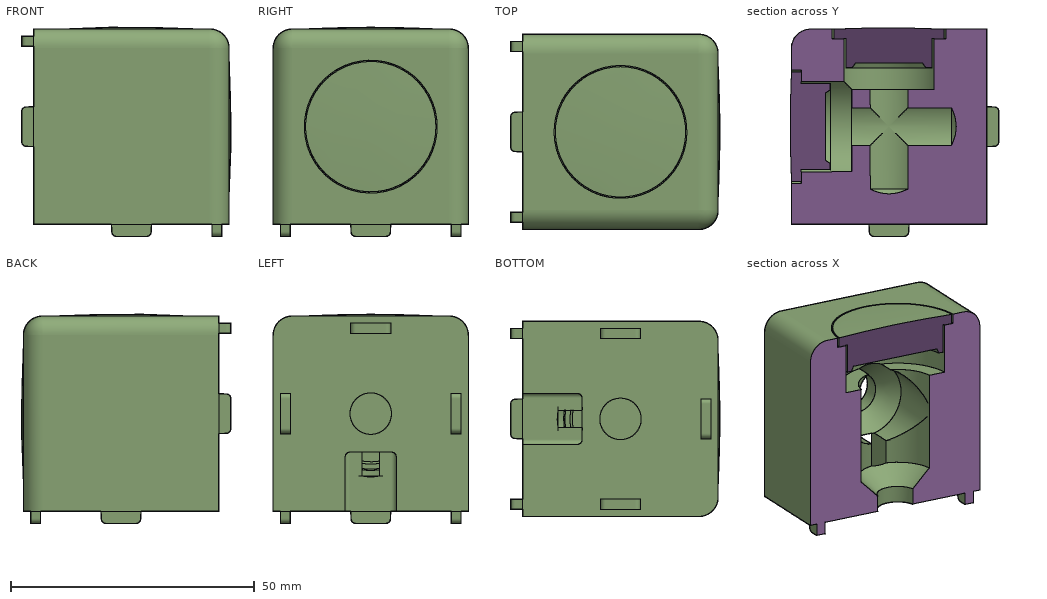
import cadquery as cq

OVERALL_LENGTH = 42.9
SIDE = 40.0
HALF = SIDE / 2
EDGE_RADIUS = 4.0
OVERLAP = 0.45

TAB_LENGTH = 2.5
TAB_BASE_WIDTH = 8.25
TAB_TIP_WIDTH = 8.0
TAB_THICKNESS = 2.05
TAB_INSET = 1.5
TAB_TIP_RADIUS = 1.0
TAB_OFFSET = HALF - TAB_INSET - TAB_THICKNESS / 2

SLOT_WIDTH = 10.45
SLOT_DEPTH = 12.15
SLOT_CORNER_RADIUS = 1.0

ENTRY_HOLE_RADIUS = 4.25
ENTRY_HOLE_DEPTH = 3.45
BORE_RADIUS = 8.05
CONE_LENGTH = BORE_RADIUS - ENTRY_HOLE_RADIUS

DOME_HEIGHT = OVERALL_LENGTH - SIDE - TAB_LENGTH
FLANGE_RADIUS = 13.35
FLANGE_THICKNESS = 2.0
LENS_GAP = 0.25
BARREL_RADIUS = 11.35
BARREL_REAR = 12.0
RECESS_RADIUS = 10.35
RECESS_FLOOR_RADIUS = 9.85
RECESS_DEPTH = 1.0
SEAT = HALF - FLANGE_THICKNESS
BARREL_BORE_START = BORE_RADIUS - OVERLAP


def swap_x_and_z(body):
    """Mirror a body across the plane x = z."""
    return cq.Workplane(body.val().mirror(cq.Vector(1, 0, -1)))


def make_block():
    block = cq.Workplane("XY").box(SIDE, SIDE, SIDE)
    return block.edges("(|X and >Z) or (>X and >Z) or (|Z and >X)").fillet(EDGE_RADIUS)


def make_tab():
    """Tab on the -X face, wide along Y, centred on the X axis."""
    tip = -HALF - TAB_LENGTH
    tab = (
        cq.Workplane("XY", origin=(0, 0, -TAB_THICKNESS / 2))
        .moveTo(-HALF + OVERLAP, -TAB_BASE_WIDTH / 2)
        .lineTo(-HALF, -TAB_BASE_WIDTH / 2)
        .lineTo(tip, -TAB_TIP_WIDTH / 2)
        .lineTo(tip, TAB_TIP_WIDTH / 2)
        .lineTo(-HALF, TAB_BASE_WIDTH / 2)
        .lineTo(-HALF + OVERLAP, TAB_BASE_WIDTH / 2)
        .close()
        .extrude(TAB_THICKNESS)
    )
    return tab.edges("|Z and <X").fillet(TAB_TIP_RADIUS)


def make_face_tabs():
    """The three tabs of the -X face: one near the top, one near each side."""
    tabs = []
    for turn in (-90, 0, 90):
        tab = make_tab().translate((0, 0, TAB_OFFSET))
        tabs.append(tab.rotate((0, 0, 0), (1, 0, 0), turn))
    return tabs


def make_slot():
    slot = cq.Workplane("XY").box(SLOT_DEPTH + OVERLAP, SLOT_WIDTH, SLOT_DEPTH + OVERLAP)
    slot = slot.edges("(|X and >Z) or (|Z and >X)").fillet(SLOT_CORNER_RADIUS)
    middle = -HALF + (SLOT_DEPTH - OVERLAP) / 2
    return slot.translate((middle, 0, middle))


def make_bore():
    """Stepped bore along the X axis: entry hole, cone, main bore, barrel bore and flange seat."""
    cone_start = -HALF + ENTRY_HOLE_DEPTH
    cone_end = cone_start + CONE_LENGTH
    barrel_bore_radius = BARREL_RADIUS + LENS_GAP
    seat_radius = FLANGE_RADIUS + LENS_GAP
    return (
        cq.Workplane("XY")
        .moveTo(-HALF - OVERLAP, 0)
        .lineTo(-HALF - OVERLAP, ENTRY_HOLE_RADIUS)
        .lineTo(cone_start, ENTRY_HOLE_RADIUS)
        .lineTo(cone_end, BORE_RADIUS)
        .lineTo(BARREL_BORE_START, BORE_RADIUS)
        .lineTo(BARREL_BORE_START, barrel_bore_radius)
        .lineTo(SEAT, barrel_bore_radius)
        .lineTo(SEAT, seat_radius)
        .lineTo(HALF + OVERLAP, seat_radius)
        .lineTo(HALF + OVERLAP, 0)
        .close()
        .revolve(360, (0, 0, 0), (1, 0, 0))
    )


def make_housing():
    housing = make_block()
    for tab in make_face_tabs():
        housing = housing.union(tab).union(swap_x_and_z(tab))
    bore = make_bore()
    for cut in (make_slot(), bore, swap_x_and_z(bore)):
        housing = housing.cut(cut)
    return housing


def make_lens():
    """Lens of the +X face: a turned body whose front is trimmed to a shallow sphere."""
    recess_floor = BARREL_REAR + RECESS_DEPTH
    dome_top = HALF + DOME_HEIGHT
    body = (
        cq.Workplane("XY")
        .moveTo(recess_floor, 0)
        .lineTo(recess_floor, RECESS_FLOOR_RADIUS)
        .lineTo(BARREL_REAR, RECESS_RADIUS)
        .lineTo(BARREL_REAR, BARREL_RADIUS)
        .lineTo(SEAT, BARREL_RADIUS)
        .lineTo(SEAT, FLANGE_RADIUS)
        .lineTo(dome_top, FLANGE_RADIUS)
        .lineTo(dome_top, 0)
        .close()
        .revolve(360, (0, 0, 0), (1, 0, 0))
    )
    dome_radius = (FLANGE_RADIUS**2 + DOME_HEIGHT**2) / (2 * DOME_HEIGHT)
    sphere = cq.Workplane("XY").sphere(dome_radius).rotate((0, 0, 0), (0, 0, 1), 180)
    return body.intersect(sphere.translate((dome_top - dome_radius, 0, 0)))


housing = make_housing()
side_lens = make_lens()
lenses = [side_lens, swap_x_and_z(side_lens)]

result = cq.Compound.makeCompound([housing.solids().val(), *[lens.solids().val() for lens in lenses]])